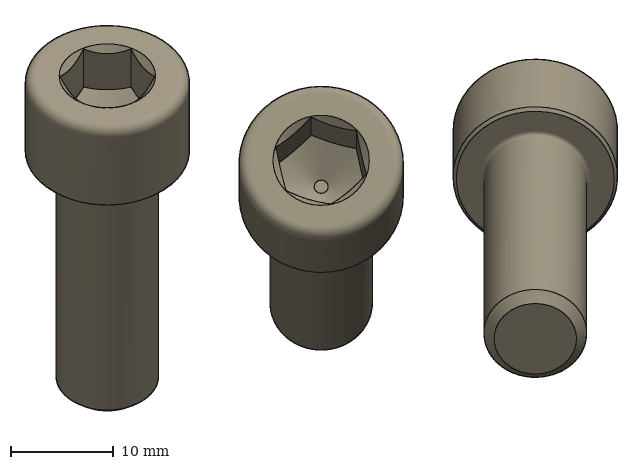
import cadquery as cq
import math

total_length = 40.0
shank_diameter = 10.0
head_diameter = 16.0
head_height = shank_diameter
head_top_round = 1.0
head_bottom_chamfer = 0.3
tip_chamfer = 1.0

neck_round = 0.4

socket_width = 8.0
socket_depth = 5.0
socket_corner_diameter = socket_width / math.cos(math.pi / 6)
socket_mouth_diameter = 9.35
socket_mouth_angle = 45.0
socket_floor_diameter = 1.35
socket_floor_angle = 30.0

shank_radius = shank_diameter / 2
head_radius = head_diameter / 2
head_base = total_length - head_height


def cone(top_z, top_diameter, slope, small_diameter=0.0):
    """Downward-narrowing cone about Z, optionally cut off at a small flat."""
    drop = (top_diameter - small_diameter) / 2 * math.tan(math.radians(slope))
    profile = cq.Workplane("XZ").moveTo(0, top_z).lineTo(top_diameter / 2, top_z)
    profile = profile.lineTo(small_diameter / 2, top_z - drop)
    if small_diameter > 0:
        profile = profile.lineTo(0, top_z - drop)
    return profile.close().revolve(360, (0, 0, 0), (0, 1, 0))


def make_head():
    head = cq.Workplane("XY").workplane(offset=head_base).circle(head_radius).extrude(head_height)
    head = head.faces(">Z").edges().fillet(head_top_round)
    return head.faces("<Z").edges().chamfer(head_bottom_chamfer)


def make_shank():
    shank = cq.Workplane("XY").circle(shank_radius).extrude(head_base)
    return shank.faces("<Z").edges().chamfer(tip_chamfer)


def make_neck():
    neck_radius = shank_radius + neck_round
    middle_offset = neck_round * math.cos(math.pi / 4)
    return (
        cq.Workplane("XZ")
        .moveTo(0, head_base)
        .lineTo(neck_radius, head_base)
        .threePointArc(
            (neck_radius - middle_offset, head_base - neck_round + middle_offset),
            (shank_radius, head_base - neck_round),
        )
        .lineTo(0, head_base - neck_round)
        .close()
        .revolve(360, (0, 0, 0), (0, 1, 0))
    )


def make_socket():
    floor_z = total_length - socket_depth
    hexagon = (
        cq.Workplane("XY")
        .workplane(offset=head_base)
        .polygon(6, socket_corner_diameter)
        .extrude(head_height)
    )
    floor = cone(floor_z, socket_corner_diameter, socket_floor_angle, socket_floor_diameter)
    envelope = floor.union(
        cq.Workplane("XY").workplane(offset=floor_z).circle(socket_corner_diameter / 2).extrude(socket_depth)
    )
    mouth = cone(total_length, socket_mouth_diameter, socket_mouth_angle)
    return hexagon.intersect(envelope).union(mouth)


result = make_head().union(make_shank()).union(make_neck()).cut(make_socket())